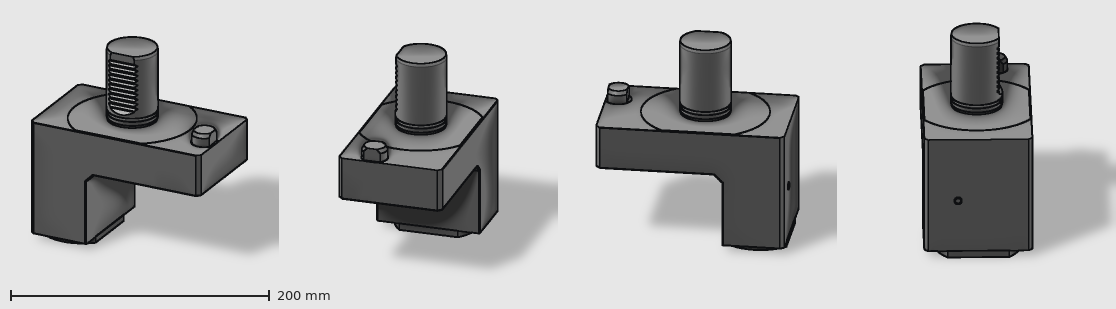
import cadquery as cq

overall_height = 160.0
clearance = 1.6

body_width = 84.0
body_left = -67.4
body_length = 147.2
body_right = body_left + body_length
arm_height = 34.7
leg_height = 93.8
leg_length = 48.5
gusset_size = 6.4
corner_chamfer = 3.2
inner_edge_chamfer = 1.0
top_edge_chamfer = 0.4
leg_end_chamfer = 0.6

pad_diameter = 100.0
pad_height = 0.3
pad_slope_width = 0.8

shank_diameter = 40.0
shank_radius = shank_diameter / 2
shank_height = 60.3
shank_chamfer_height = 2.5
shank_chamfer_depth = 0.5
neck_diameter = 39.0
neck_height = 2.2
seal_bottom = 5.6
seal_thickness = 2.7
flat_distance = 17.1
tooth_depth = 1.6
tooth_pitch = 4.0
tooth_count = 10
tooth_crest = 0.6
first_root_below_top = 8.0
run_out_land = 1.0

pin_x = 70.2
pin_y = -15.0
pin_diameter = 20.2
pin_height = 10.2
pin_flat_width = 15.0
pin_chamfer_height = 3.2
pin_chamfer_depth = 1.8
pin_seat_diameter = 20.8
pin_seat_depth = 0.2

cap_diameter = 67.2
cap_length = 47.4
cap_height = overall_height - shank_height - leg_height
cap_chamfer = 0.5

plug_y = 15.7
plug_z = -51.5
plug_diameter = 4.5
plug_projection = 0.3
plug_seat_diameter = 5.9
plug_seat_depth = 0.3


def make_body():
    """L-shaped block with a gusset in its inner corner and broken edges."""
    leg_right = body_left + leg_length
    body = (
        cq.Workplane("XZ")
        .polyline(
            [
                (body_left, 0),
                (body_right, 0),
                (body_right, -arm_height),
                (leg_right + gusset_size, -arm_height),
                (leg_right, -arm_height - gusset_size),
                (leg_right, -leg_height),
                (body_left, -leg_height),
            ]
        )
        .close()
        .extrude(body_width / 2, both=True)
    )
    body = body.edges("|Z").edges("<X or >X").chamfer(corner_chamfer)

    inner_edges = cq.selectors.BoxSelector(
        (leg_right - clearance, -body_width, -leg_height + clearance),
        (body_right - corner_chamfer - clearance, body_width, -clearance),
    )
    underside = cq.selectors.NearestToPointSelector((body_right / 2, 0, -arm_height))
    underside_rim = body.faces(underside).edges("not(<X)")
    body = body.edges("#Y").edges(inner_edges).add(underside_rim).chamfer(inner_edge_chamfer)

    body = body.edges("|X").edges(">Z").chamfer(top_edge_chamfer)
    return body.edges("|X").edges("<Z").chamfer(leg_end_chamfer)


def make_pad():
    """Thin disc whose sides slope in at the long edges of the body."""
    base_y = body_width / 2 - top_edge_chamfer
    top_y = base_y - pad_slope_width
    limits = (
        cq.Workplane("YZ")
        .polyline([(-base_y, 0), (base_y, 0), (top_y, pad_height), (-top_y, pad_height)])
        .close()
        .extrude(pad_diameter / 2, both=True)
    )
    return cq.Workplane().circle(pad_diameter / 2).extrude(pad_height).intersect(limits)


def make_tooth_cutter():
    """Everything in front of the toothed flat: V grooves, then a 45 degree run-out."""
    front = -shank_radius - clearance
    root = -flat_distance + tooth_depth
    half_groove = (tooth_pitch - tooth_crest) / 2
    points = [(front, shank_height + clearance), (-flat_distance, shank_height + clearance)]
    for tooth in range(tooth_count):
        root_z = shank_height - first_root_below_top - tooth * tooth_pitch
        points += [
            (-flat_distance, root_z + half_groove),
            (root, root_z),
            (-flat_distance, root_z - half_groove),
        ]
    run_out_z = root_z - half_groove - run_out_land
    points += [
        (-flat_distance, run_out_z),
        (front, run_out_z + front + flat_distance),
    ]
    return cq.Workplane("YZ").polyline(points).close().extrude(shank_radius, both=True)


def make_shank():
    """Turned shank with a neck, a bulging seal ring and a toothed flat facing -Y."""
    neck_radius = neck_diameter / 2
    seal_middle = seal_bottom + seal_thickness / 2
    seal_top = seal_bottom + seal_thickness
    shank = (
        cq.Workplane("XZ")
        .moveTo(0, 0)
        .lineTo(neck_radius, 0)
        .lineTo(neck_radius, neck_height)
        .lineTo(shank_radius, neck_height)
        .lineTo(shank_radius, seal_bottom)
        .lineTo(neck_radius, seal_bottom)
        .threePointArc((shank_radius, seal_middle), (neck_radius, seal_top))
        .lineTo(shank_radius, seal_top)
        .lineTo(shank_radius, shank_height - shank_chamfer_height)
        .lineTo(shank_radius - shank_chamfer_depth, shank_height)
        .lineTo(0, shank_height)
        .close()
        .revolve(360, (0, 0, 0), (0, 1, 0))
    )
    return shank.cut(make_tooth_cutter())


def make_pin():
    """Tapered pin with flats on its -X and +X sides, standing in its seat."""
    total_height = pin_seat_depth + pin_height
    pin = (
        cq.Workplane()
        .circle(pin_diameter / 2)
        .extrude(total_height)
        .faces(">Z")
        .chamfer(pin_chamfer_height, pin_chamfer_depth)
    )
    flats = cq.Workplane().box(pin_flat_width, pin_diameter, 2 * total_height)
    return pin.intersect(flats).translate((pin_x, pin_y, -pin_seat_depth))


def make_cap():
    """Round cap cut flat on its -X and +X sides."""
    cap = cq.Workplane().circle(cap_diameter / 2).extrude(-cap_height)
    limits = cq.Workplane().box(cap_length, cap_diameter, 2 * cap_height)
    cap = cap.intersect(limits).faces("<Z").chamfer(cap_chamfer)
    return cap.translate((body_left + leg_length / 2, 0, -leg_height))


pin_seat = (
    cq.Workplane()
    .center(pin_x, pin_y)
    .circle(pin_seat_diameter / 2)
    .extrude(-pin_seat_depth)
)

plug_face = cq.Workplane("YZ", origin=(body_left, plug_y, plug_z))
plug_seat = plug_face.circle(plug_seat_diameter / 2).extrude(plug_seat_depth)
plug = (
    plug_face.workplane(offset=-plug_projection)
    .circle(plug_diameter / 2)
    .extrude(plug_projection + plug_seat_depth)
)

result = (
    make_body()
    .cut(pin_seat)
    .cut(plug_seat)
    .union(plug)
    .union(make_pad())
    .union(make_shank())
    .union(make_pin())
    .union(make_cap())
)